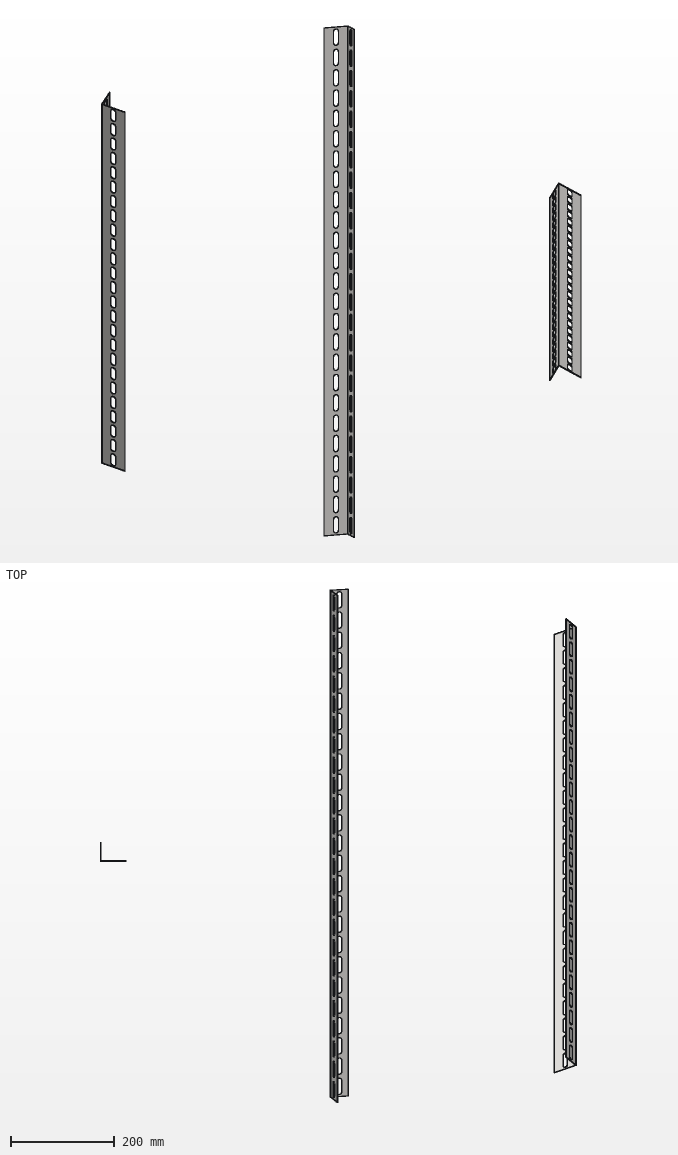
import cadquery as cq

length = 1000.0
wide_leg = 50.0
narrow_leg = 36.0
thickness = 1.5

slot_pitch = 40.0
slot_length = 32.0
slot_width = 10.0
slot_count = int(length / slot_pitch)


def angle_bar():
    """L-shaped bar with its outer corner on the Z axis."""
    return (
        cq.Workplane("XY")
        .polyline([
            (0, 0),
            (wide_leg, 0),
            (wide_leg, thickness),
            (thickness, thickness),
            (thickness, narrow_leg),
            (0, narrow_leg),
        ])
        .close()
        .extrude(length)
    )


def slot_row(plane, leg_width):
    """Upright slot cutters centred on a leg, passing through its thickness."""
    middle_height = length / 2
    return (
        cq.Workplane(plane)
        .center(leg_width / 2, middle_height)
        .rarray(10, slot_pitch, 1, slot_count)
        .slot2D(slot_length, slot_width, 90)
        .extrude(thickness, both=True)
    )


wide_leg_slots = slot_row("XZ", wide_leg)
narrow_leg_slots = slot_row("YZ", narrow_leg)

result = angle_bar().cut(wide_leg_slots).cut(narrow_leg_slots)